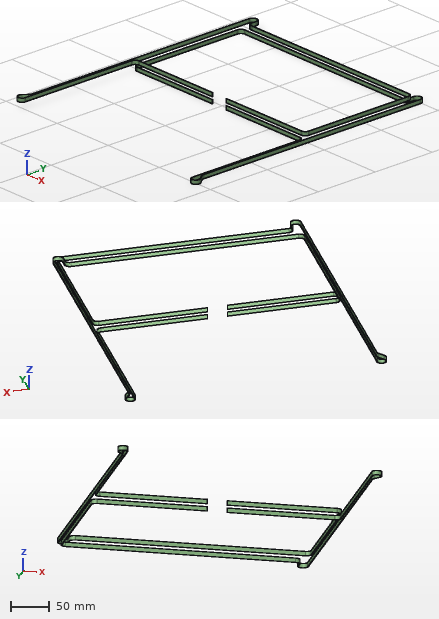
import cadquery as cq
import math

overall_length = 410.57
overall_width = 353.66
overall_height = 16.0
strip_height = 6.0
strip_thickness = 1.2

frame_width = 336.0
leg_width = 4.5
bar_gap = 27.0
cross_bar_y = -4.8
rear_bar_y = 183.8

bend_radius = 6.6
kink_radius = 8.0
kink_angle = 39.0

half_thickness = strip_thickness / 2
side_x = frame_width / 2 - half_thickness
leg_inner_x = frame_width / 2 - leg_width + half_thickness
loop_radius = (overall_width / 2 - half_thickness - leg_inner_x) / 2
hook_centre_y = overall_length / 2 - half_thickness - bend_radius
loop_centre_y = -overall_length / 2 + half_thickness + loop_radius


class StripPath:
    """Centreline of a bent strip, traced as straights and tangent bends.

    Both faces of the strip are recorded as (through point, end point) pairs;
    the through point is None on a straight.
    """

    def __init__(self, x, y, heading):
        self.x, self.y, self.heading = x, y, heading
        self.left_start = self.face_point(half_thickness)
        self.right_start = self.face_point(-half_thickness)
        self.left_face = []
        self.right_face = []

    def face_point(self, offset):
        """Point at a distance to the left of the current position."""
        angle = math.radians(self.heading)
        return (self.x - offset * math.sin(angle), self.y + offset * math.cos(angle))

    def straight(self, length):
        angle = math.radians(self.heading)
        self.x += length * math.cos(angle)
        self.y += length * math.sin(angle)
        self.left_face.append((None, self.face_point(half_thickness)))
        self.right_face.append((None, self.face_point(-half_thickness)))

    def straight_to_x(self, x):
        self.straight(abs(x - self.x))

    def straight_to_y(self, y):
        self.straight(abs(y - self.y))

    def turn(self, angle, centre):
        """Move along an arc about a centre; a positive angle turns left."""
        start_x, start_y = self.x - centre[0], self.y - centre[1]
        swing = math.radians(angle)
        self.x = centre[0] + start_x * math.cos(swing) - start_y * math.sin(swing)
        self.y = centre[1] + start_x * math.sin(swing) + start_y * math.cos(swing)
        self.heading += angle

    def bend(self, angle, radius=bend_radius):
        """Tangent bend; a positive angle turns left."""
        centre = self.face_point(math.copysign(radius, angle))
        self.turn(angle / 2, centre)
        left_middle = self.face_point(half_thickness)
        right_middle = self.face_point(-half_thickness)
        self.turn(angle / 2, centre)
        self.left_face.append((left_middle, self.face_point(half_thickness)))
        self.right_face.append((right_middle, self.face_point(-half_thickness)))

    def solid(self, height):
        """Closed outline, along the left face and back along the right, extruded up."""
        outline = cq.Workplane("XY").moveTo(*self.left_start)
        for through, end in self.left_face:
            outline = add_stretch(outline, through, end)
        outline = outline.lineTo(*self.right_face[-1][1])
        starts = [self.right_start] + [end for _, end in self.right_face[:-1]]
        for (through, _), start in zip(reversed(self.right_face), reversed(starts)):
            outline = add_stretch(outline, through, start)
        return outline.close().extrude(height)


def add_stretch(outline, through, end):
    if through is None:
        return outline.lineTo(*end)
    return outline.threePointArc(through, end)


def make_frame():
    """Bent frame with its doubled leg and rear hook on the -X side, base at Z = 0."""
    path = StripPath(-bar_gap / 2, cross_bar_y, 180)

    path.straight_to_x(-leg_inner_x + bend_radius)
    path.bend(90)
    path.straight_to_y(loop_centre_y)

    path.bend(-180 - kink_angle, loop_radius)
    kink = math.radians(kink_angle)
    kink_shift = kink_radius * (1 - math.cos(kink))
    path.straight((-side_x - kink_shift - path.x) / math.sin(kink))
    path.bend(kink_angle, kink_radius)

    path.straight_to_y(hook_centre_y)
    path.bend(-180)
    path.straight_to_y(rear_bar_y + bend_radius)
    path.bend(90)

    path.straight_to_x(side_x - bend_radius)
    path.bend(-90)
    path.straight_to_y(cross_bar_y + bend_radius)
    path.bend(-90)
    path.straight_to_x(bar_gap / 2)
    return path.solid(strip_height)


upper_frame = make_frame().translate((0, 0, overall_height / 2 - strip_height))
lower_frame = make_frame().mirror("YZ").translate((0, 0, -overall_height / 2))

result = cq.Compound.makeCompound([upper_frame.val(), lower_frame.val()])